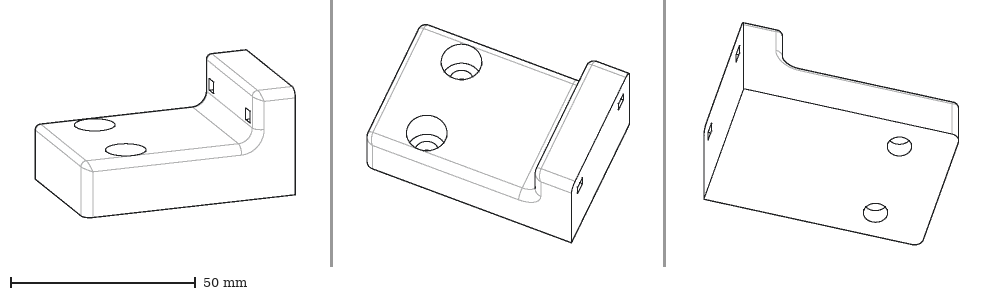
import cadquery as cq

width = 40.0
length = 61.0
height = 30.0
base_height = 15.5
wall_thickness = 11.5

inner_radius = 4.0
side_radius = 2.5
front_radius = 1.5

screw_diameter = 6.6
counterbore_diameter = 11.0
counterbore_floor = 5.0
screw_spacing = 24.0
screw_front_offset = 15.0

square_size = 3.3
square_spacing = 28.2
square_center_height = 22.1

wall_front = length - wall_thickness
tolerance = 0.005


def make_body():
    """L profile extruded across the width, centered on X, front face at Y = 0."""
    profile = (
        cq.Workplane("YZ")
        .moveTo(0, 0)
        .lineTo(length, 0)
        .lineTo(length, height)
        .lineTo(wall_front, height)
        .lineTo(wall_front, base_height + inner_radius)
        .radiusArc((wall_front - inner_radius, base_height), inner_radius)
        .lineTo(0, base_height)
        .close()
    )
    return profile.extrude(width / 2, both=True)


def is_exposed(edge):
    """True for edges off the flat bottom and back faces."""
    box = edge.BoundingBox()
    on_bottom = box.zmax < tolerance
    on_back = box.ymin > length - tolerance
    return not (on_bottom or on_back)


def round_sides(body):
    """Round the stepped outline on both side faces."""
    side_edges = body.faces("<X or >X").edges()
    return side_edges.filter(is_exposed).fillet(side_radius)


def is_front_top_edge(edge):
    """True for the top front edges of the base and of the wall."""
    center = edge.Center()
    base_edge = abs(center.y) < tolerance and abs(center.z - base_height) < tolerance
    wall_edge = abs(center.y - wall_front) < tolerance and abs(center.z - height) < tolerance
    return base_edge or wall_edge


def round_front_edges(body):
    """Round the edges across the front of the base and the wall."""
    return body.edges("|X").filter(is_front_top_edge).fillet(front_radius)


def cut_screw_holes(body):
    """Drill the pair of counterbored holes down through the base."""
    for x in (-screw_spacing / 2, screw_spacing / 2):
        plane = cq.Workplane("XY").center(x, screw_front_offset)
        shaft = plane.circle(screw_diameter / 2).extrude(base_height)
        counterbore = (
            plane.workplane(offset=counterbore_floor)
            .circle(counterbore_diameter / 2)
            .extrude(base_height - counterbore_floor)
        )
        body = body.cut(shaft).cut(counterbore)
    return body


def cut_square_holes(body):
    """Pass a pair of square holes from front to back through the wall."""
    for x in (-square_spacing / 2, square_spacing / 2):
        wall_middle = wall_front + wall_thickness / 2
        hole = cq.Workplane("XY").box(square_size, wall_thickness, square_size)
        body = body.cut(hole.translate((x, wall_middle, square_center_height)))
    return body


body = round_front_edges(round_sides(make_body()))
result = cut_square_holes(cut_screw_holes(body))